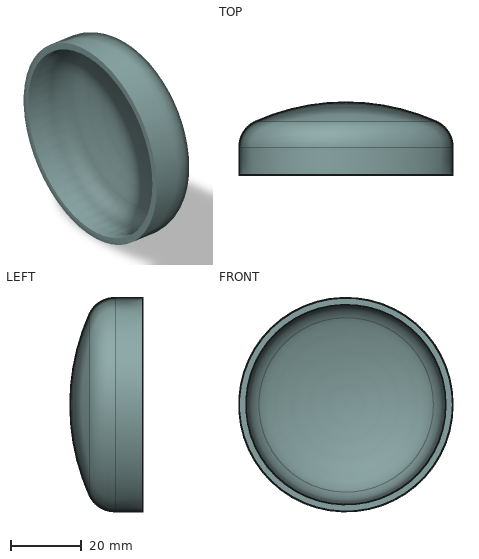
import cadquery as cq
import math

outer_diameter = 60.3
inner_diameter = 56.3
total_height = 20.55

wall = (outer_diameter - inner_diameter) / 2
inner_crown_radius = outer_diameter
inner_knuckle_radius = outer_diameter / 10

knuckle_center_x = inner_diameter / 2 - inner_knuckle_radius
center_distance = inner_crown_radius - inner_knuckle_radius
tangent_angle = math.asin(knuckle_center_x / center_distance)

crown_center_y = total_height - wall - inner_crown_radius
skirt_height = crown_center_y + center_distance * math.cos(tangent_angle)


def on_crown(radius, angle):
    """Point on a crown arc, at an angle from the axis."""
    return (radius * math.sin(angle), crown_center_y + radius * math.cos(angle))


def on_knuckle(radius, angle):
    """Point on a knuckle arc, at an angle from the axis direction."""
    return (
        knuckle_center_x + radius * math.sin(angle),
        skirt_height + radius * math.cos(angle),
    )


def dished_solid(offset):
    """Solid of revolution bounded by the inner surface moved outward by offset."""
    crown_radius = inner_crown_radius + offset
    knuckle_radius = inner_knuckle_radius + offset
    skirt_radius = inner_diameter / 2 + offset
    knuckle_middle_angle = (tangent_angle + math.pi / 2) / 2
    return (
        cq.Workplane("XY")
        .lineTo(skirt_radius, 0)
        .lineTo(skirt_radius, skirt_height)
        .threePointArc(
            on_knuckle(knuckle_radius, knuckle_middle_angle),
            on_knuckle(knuckle_radius, tangent_angle),
        )
        .threePointArc(
            on_crown(crown_radius, tangent_angle / 2),
            on_crown(crown_radius, 0),
        )
        .close()
        .revolve(360, (0, 0, 0), (0, 1, 0))
    )


result = dished_solid(wall).cut(dished_solid(0))